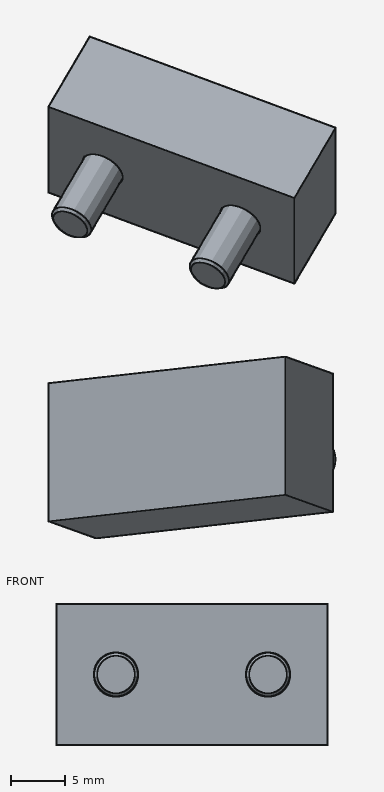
import cadquery as cq

block_length = 25.0
block_depth = 9.0
block_height = 13.0

pin_diameter = 4.0
pin_length = 12.0
pin_projection = 7.0
pin_tip_chamfer = 0.27
pin_spacing = 14.0
pin_positions_x = (-pin_spacing / 2, pin_spacing / 2)

hole_clearance = 0.1
hole_diameter = pin_diameter + hole_clearance
hole_depth = pin_length - pin_projection


def make_block():
    """Rectangular block centred on X and Z, with a blind hole for each pin."""
    block = cq.Workplane("XY").box(
        block_length, block_depth, block_height, centered=(True, False, True)
    )
    for position_x in pin_positions_x:
        hole = (
            cq.Workplane("XZ", origin=(position_x, hole_depth, 0))
            .circle(hole_diameter / 2)
            .extrude(hole_depth)
        )
        block = block.cut(hole)
    return block.solids()


def make_pin(position_x):
    """Round pin seated on the floor of its hole, with a chamfered free end."""
    return (
        cq.Workplane("XZ", origin=(position_x, hole_depth, 0))
        .circle(pin_diameter / 2)
        .extrude(pin_length)
        .faces("<Y")
        .chamfer(pin_tip_chamfer)
        .solids()
    )


block = make_block()
pins = [make_pin(position_x) for position_x in pin_positions_x]

result = cq.Compound.makeCompound([block.val(), *[pin.val() for pin in pins]])